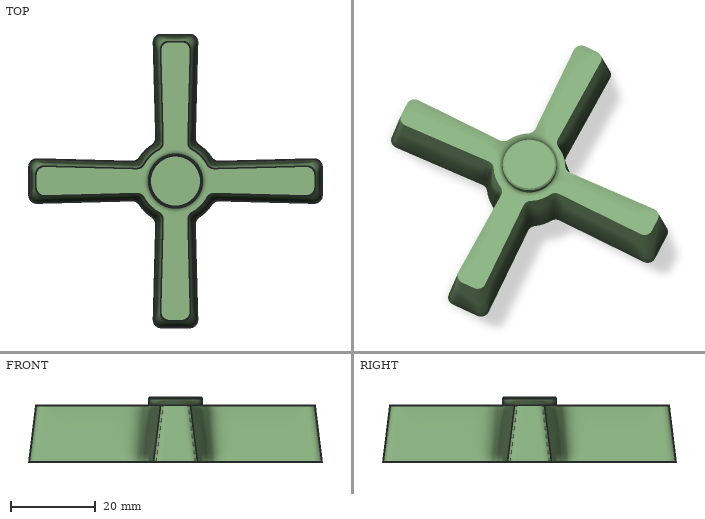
import cadquery as cq
import math

SPAN = 69.3
HANDLE_HEIGHT = 13.45
TOTAL_HEIGHT = 15.4
DRAFT_ANGLE = 7.0

TIP_WIDTH = 10.55
WAIST_WIDTH = 8.7
HUB_RADIUS = 10.1
EDGE_RADIUS = 2.0

BUTTON_DIAMETER = 12.7
BUTTON_FACE_DIAMETER = 12.0
BUTTON_CHAMFER = (BUTTON_DIAMETER - BUTTON_FACE_DIAMETER) / 2


def make_arm_pair():
    """Two opposite arms along X that widen toward their tips, with drafted sides."""
    tip_x = SPAN / 2
    tip_y = TIP_WIDTH / 2
    waist_y = WAIST_WIDTH / 2
    outline = [
        (-tip_x, -tip_y),
        (0, -waist_y),
        (tip_x, -tip_y),
        (tip_x, tip_y),
        (0, waist_y),
        (-tip_x, tip_y),
    ]
    return cq.Workplane("XY").polyline(outline).close().extrude(HANDLE_HEIGHT, taper=DRAFT_ANGLE)


def make_hub():
    """Conical hub with the same draft as the arms."""
    return cq.Workplane("XY").circle(HUB_RADIUS).extrude(HANDLE_HEIGHT, taper=DRAFT_ANGLE)


def spans_handle_height(edge):
    """True for edges that run from the base to the top of the handle."""
    return math.isclose(edge.BoundingBox().zlen, HANDLE_HEIGHT, abs_tol=0.01)


def is_corner(edge):
    """True for arm corners, where two different faces meet, and not for a seam of the hub cone."""
    center = edge.Center()
    off_diagonal = abs(abs(center.x) - abs(center.y))
    return spans_handle_height(edge) and off_diagonal > EDGE_RADIUS


def make_handle():
    """Cross handle with rounded arm tips and rounded corners between arms and hub."""
    arm_pair = make_arm_pair()
    hub = make_hub().rotate((0, 0, 0), (0, 0, 1), 45)
    cross = arm_pair.union(arm_pair.rotate((0, 0, 0), (0, 0, 1), 90)).union(hub)
    corners = [edge for edge in cross.edges().vals() if is_corner(edge)]
    return cross.newObject(corners).fillet(EDGE_RADIUS)


def make_button():
    """Round button that rests on the hub, with a chamfered top rim."""
    return (
        cq.Workplane("XY")
        .workplane(offset=HANDLE_HEIGHT)
        .circle(BUTTON_DIAMETER / 2)
        .extrude(TOTAL_HEIGHT - HANDLE_HEIGHT)
        .faces(">Z")
        .edges()
        .chamfer(BUTTON_CHAMFER)
    )


handle = make_handle()
button = make_button()

result = cq.Compound.makeCompound([handle.solids().val(), button.val()])